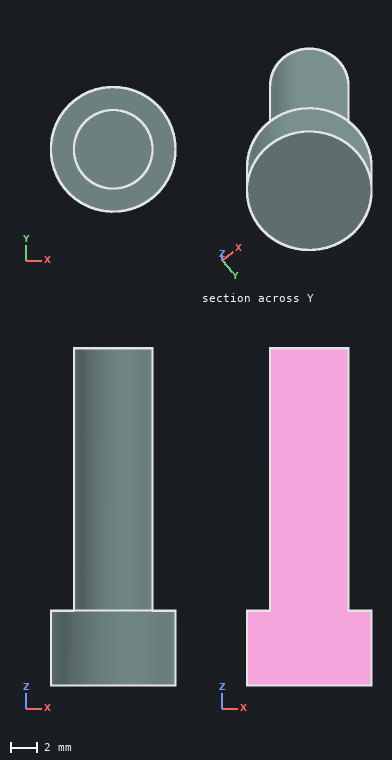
import cadquery as cq

total_length = 25.7
head_diameter = 9.5
head_height = 5.7
shank_diameter = 6.0
shank_length = total_length - head_height

head = cq.Workplane("XY").circle(head_diameter / 2).extrude(head_height)

shank = (
    cq.Workplane("XY")
    .workplane(offset=head_height)
    .circle(shank_diameter / 2)
    .extrude(shank_length)
)

result = head.union(shank)